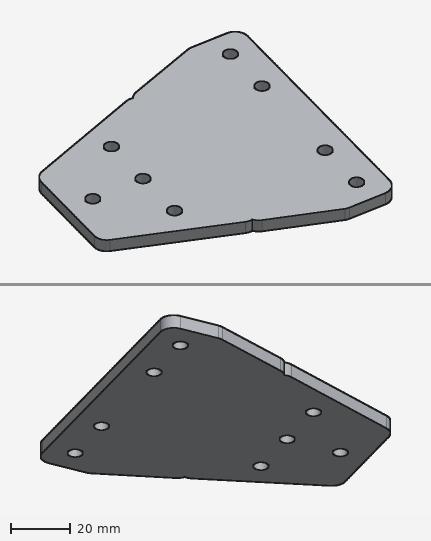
import cadquery as cq

plate_size = 100.0
plate_thickness = 5.0
corner_radius = 5.0

outer_corner = plate_size / 2 - corner_radius
head_side_end_y = 30.8
head_foot_x = 35.2
head_foot_y = 4.0
stem_shoulder_x = 33.0
stem_shoulder_y = -1.2
stem_foot_x = 16.7

hole_diameter = 5.2
hole_pitch = 20.0
head_hole_columns = (-2, -1, 1, 2)
stem_hole_columns = (-1, 0, 1)


def rounded_plate(right_corner_centres):
    """Plate symmetric about the Y axis, rounded about the given corner centres."""
    left_corner_centres = [(-x, y) for x, y in reversed(right_corner_centres)]
    return (
        cq.Workplane("XY")
        .polyline(right_corner_centres + left_corner_centres)
        .close()
        .offset2D(corner_radius)
        .extrude(plate_thickness)
    )


head = rounded_plate([
    (outer_corner, outer_corner),
    (outer_corner, head_side_end_y),
    (head_foot_x, head_foot_y),
])

stem = rounded_plate([
    (stem_shoulder_x, stem_shoulder_y),
    (stem_foot_x, -outer_corner),
])

hole_centres = [(column * hole_pitch, 2 * hole_pitch) for column in head_hole_columns]
hole_centres += [(column * hole_pitch, -hole_pitch) for column in stem_hole_columns]
hole_centres.append((0, -2 * hole_pitch))

holes = (
    cq.Workplane("XY")
    .pushPoints(hole_centres)
    .circle(hole_diameter / 2)
    .extrude(plate_thickness)
)

result = head.union(stem).cut(holes)